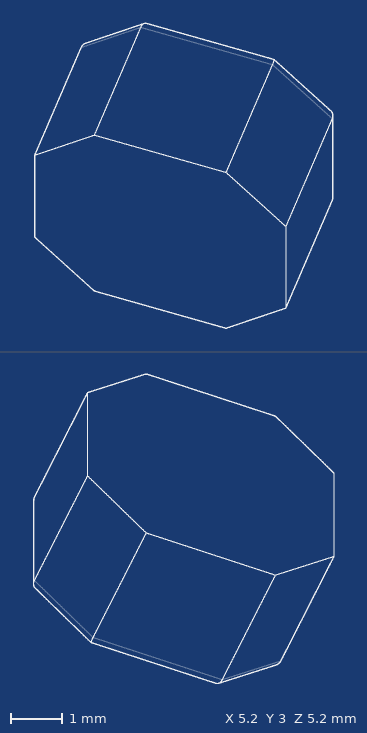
import cadquery as cq

width = 5.2
depth = 3.0
corner_cut = 1.24
rim_radius = 0.25

block = cq.Workplane("XY").box(width, depth, width)
prism = block.edges("|Y").chamfer(corner_cut)

result = prism.faces(">Y").edges().fillet(rim_radius)